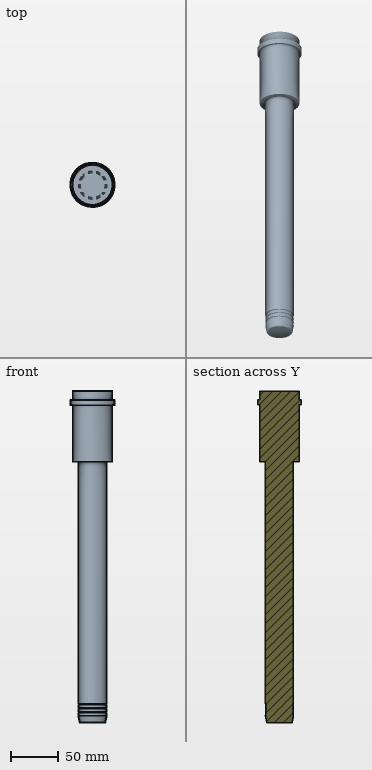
import cadquery as cq

total_length = 350.0
rod_radius = 15.0

head_radius = 21.0
head_length = 75.0
collar_radius = 23.5
collar_offset = 9.0
collar_height = 6.0
collar_chamfer = 0.7

barb_count = 3
barb_pitch = 4.2
barb_taper = 0.5
groove_width = 1.0
groove_depth = 1.0
nose_height = 7.5
tip_radius = 13.5
tip_chamfer = 0.7

head_bottom = total_length - head_length
collar_top = total_length - collar_offset
half_length = total_length / 2


def cylinder(radius, bottom, height):
    return cq.Workplane("XY").workplane(offset=bottom).circle(radius).extrude(height)


def make_rod():
    """Revolve the rod with its tapered nose and grooved barbs."""
    profile = [(0, 0), (tip_radius - tip_chamfer, 0), (tip_radius, tip_chamfer)]
    for barb in range(barb_count):
        edge_height = nose_height + barb * barb_pitch
        profile.append((rod_radius, edge_height))
        groove_bottom = edge_height + barb_pitch - groove_width
        profile.append((rod_radius - barb_taper, groove_bottom))
        profile.append((rod_radius - groove_depth, groove_bottom))
        profile.append((rod_radius - groove_depth, edge_height + barb_pitch))
    profile.append((rod_radius, nose_height + barb_count * barb_pitch))
    profile.append((rod_radius, head_bottom))
    profile.append((0, head_bottom))
    return cq.Workplane("XZ").polyline(profile).close().revolve(360, (0, 0), (0, 1))


def make_head():
    """Make the plain head with its top-chamfered collar."""
    head = cylinder(head_radius, head_bottom, head_length)
    collar = cylinder(collar_radius, collar_top - collar_height, collar_height)
    collar = collar.faces(">Z").chamfer(collar_chamfer)
    return head.union(collar)


result = make_rod().union(make_head()).translate((0, 0, -half_length))